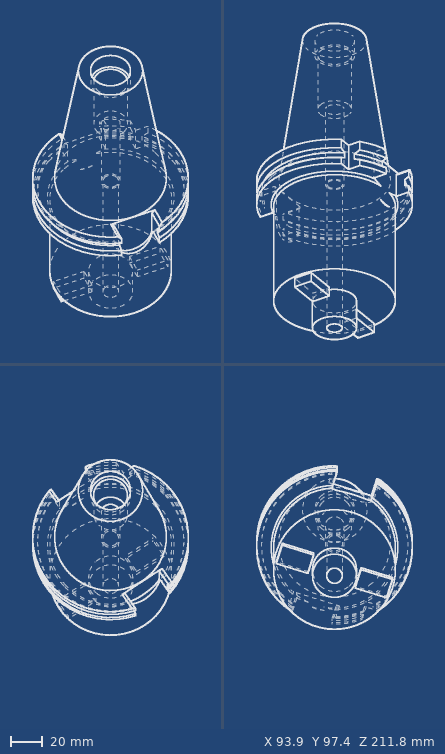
import cadquery as cq
import math

gauge_radius = 35.0
taper_length = 101.9
taper_slope = 7 / 48
tip_radius = gauge_radius - taper_length * taper_slope

flange_radius = 48.7
flange_top = -1.3
flange_bottom = -19.0
groove_middle = -11.0
groove_mouth_width = 7.0
groove_floor_width = 3.5
groove_floor_radius = 45.7

body_radius = 38.1
collar_radius = 39.5
collar_height = 1.7
body_bottom = -90.0
spigot_radius = 13.8
total_length = 211.8
spigot_bottom = taper_length - total_length

slot_half_width = 13.0
slot_chamfer = 2.1
left_slot_body_width = 9.7
left_slot_floor = math.sqrt(body_radius**2 - (left_slot_body_width / 2) ** 2)
right_slot_floor = 35.2

notch_x = -30.0
notch_y = 30.0

key_width = 12.3
key_height = 6.4
key_inner = 15.5
key_outer = 36.2

bore_steps = [(12.5, 11.0), (10.5, 50.8), (6.0, 105.9)]
through_radius = 4.9


def revolved_body():
    """Taper, grooved flange, body and spigot as one revolved profile."""
    mouth_half = groove_mouth_width / 2
    floor_half = groove_floor_width / 2
    profile = [
        (0, taper_length),
        (tip_radius, taper_length),
        (gauge_radius, 0),
        (gauge_radius, flange_top),
        (flange_radius, flange_top),
        (flange_radius, groove_middle + mouth_half),
        (groove_floor_radius, groove_middle + floor_half),
        (groove_floor_radius, groove_middle - floor_half),
        (flange_radius, groove_middle - mouth_half),
        (flange_radius, flange_bottom),
        (collar_radius, flange_bottom),
        (body_radius, flange_bottom - collar_height),
        (body_radius, body_bottom),
        (spigot_radius, body_bottom),
        (spigot_radius, spigot_bottom),
        (0, spigot_bottom),
    ]
    return cq.Workplane("XZ").polyline(profile).close().revolve(360, (0, 0), (0, 1))


def drive_slot(side, floor):
    """Cutter for a slot from the rim in to the floor; side is +1 for +X, -1 for -X."""
    mouth_half = slot_half_width + slot_chamfer
    outline = (
        cq.Workplane("YZ", origin=(side * floor, 0, 0))
        .moveTo(-slot_half_width, flange_bottom)
        .lineTo(-slot_half_width, flange_top - slot_chamfer)
        .lineTo(-mouth_half, flange_top)
        .lineTo(mouth_half, flange_top)
        .lineTo(slot_half_width, flange_top - slot_chamfer)
        .lineTo(slot_half_width, flange_bottom)
        .threePointArc((0, flange_bottom - slot_half_width), (-slot_half_width, flange_bottom))
        .close()
    )
    return outline.extrude(side * flange_radius)


def orientation_notch():
    """Cutter for the square corner removed from the flange rim."""
    size = flange_radius
    return (
        cq.Workplane("XY", origin=(notch_x, notch_y, flange_bottom))
        .rect(-size, size, centered=False)
        .extrude(flange_top - flange_bottom)
    )


def drive_key(side):
    """Key on the lower face, on the +Y (side = 1) or -Y (side = -1) half."""
    middle = side * (key_inner + key_outer) / 2
    return (
        cq.Workplane("XY", origin=(0, middle, body_bottom))
        .rect(key_width, key_outer - key_inner)
        .extrude(-key_height)
    )


def bore(radius, depth):
    """Cutter for one step of the bore, sunk from the shank tip."""
    return cq.Workplane("XY", origin=(0, 0, taper_length)).circle(radius).extrude(-depth)


result = revolved_body()
result = result.cut(drive_slot(-1, left_slot_floor))
result = result.cut(drive_slot(1, right_slot_floor))
result = result.cut(orientation_notch())
for key_side in (-1, 1):
    result = result.union(drive_key(key_side))
for step_radius, step_depth in bore_steps:
    result = result.cut(bore(step_radius, step_depth))
result = result.cut(bore(through_radius, total_length))